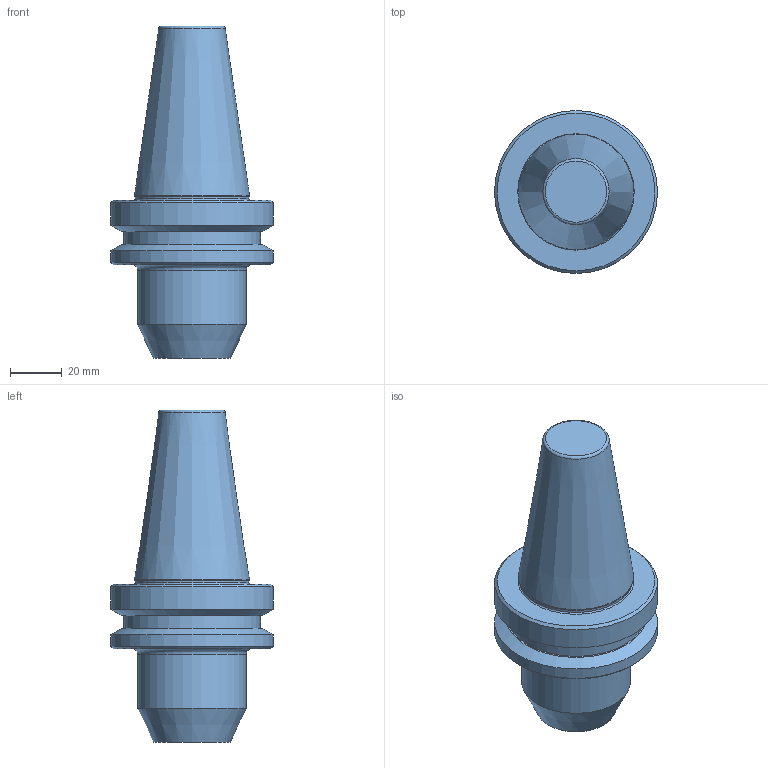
import cadquery as cq
import math


gauge_diameter = 44.45
taper_length = 65.4
taper_ratio = 7 / 24
shank_end_fillet = 1.0
shank_base_land = 0.4

neck_diameter = 44.0
neck_fillet = 0.5

flange_diameter = 63.0
flange_top = -2.0
flange_thickness = 25.0
flange_chamfer = 1.0

groove_center = -16.6
groove_mouth_width = 10.0
groove_flank_angle = 30.0
groove_floor_width = 5.0
groove_floor_diameter = 53.0

nose_bottom = -63.0
body_diameter = 42.0
body_fillet = 2.0
nose_length = 13.0
nose_end_diameter = 30.0

selection_margin = 0.01

gauge_radius = gauge_diameter / 2
shank_end_radius = (gauge_diameter - taper_length * taper_ratio) / 2
neck_radius = neck_diameter / 2
flange_radius = flange_diameter / 2
flange_bottom = flange_top - flange_thickness
groove_floor_radius = groove_floor_diameter / 2
body_radius = body_diameter / 2
nose_end_radius = nose_end_diameter / 2
nose_top = nose_bottom + nose_length


def turned(*profile):
    """Revolve a closed (radius, height) profile around the Z axis."""
    return cq.Workplane("XZ").polyline(profile).close().revolve(360, (0, 0), (0, 1))


def circle_at(radius, height):
    """Selector for the circular edges up to a given radius at a given height."""
    reach = radius + selection_margin
    low_corner = (-reach, -reach, height - selection_margin)
    high_corner = (reach, reach, height + selection_margin)
    return cq.selectors.BoxSelector(low_corner, high_corner, boundingbox=True)


def make_shank():
    """Taper with a short cylindrical land at its base and a rounded small end."""
    shank = turned(
        (0, -shank_base_land),
        (gauge_radius, -shank_base_land),
        (gauge_radius, 0),
        (shank_end_radius, taper_length),
        (0, taper_length),
    )
    return shank.faces(">Z").edges().fillet(shank_end_fillet)


def make_flange():
    """Chamfered disc with a V-groove whose flanks step down to a flat floor."""
    blank = cq.Workplane("XY", origin=(0, 0, flange_bottom)).circle(flange_radius).extrude(flange_thickness)
    blank = blank.edges("%CIRCLE").chamfer(flange_chamfer)
    half_mouth = groove_mouth_width / 2
    half_floor = groove_floor_width / 2
    flank_depth = (half_mouth - half_floor) / math.tan(math.radians(groove_flank_angle))
    step_radius = flange_radius - flank_depth
    groove = turned(
        (flange_radius, groove_center - half_mouth),
        (step_radius, groove_center - half_floor),
        (groove_floor_radius, groove_center - half_floor),
        (groove_floor_radius, groove_center + half_floor),
        (step_radius, groove_center + half_floor),
        (flange_radius, groove_center + half_mouth),
    )
    return blank.cut(groove)


def make_neck():
    """Relieved cylinder joining the flange to the shank."""
    return cq.Workplane("XY", origin=(0, 0, flange_top)).circle(neck_radius).extrude(-flange_top)


def make_body():
    """Cylinder below the flange, ending in a conical nose."""
    return turned(
        (0, flange_bottom),
        (body_radius, flange_bottom),
        (body_radius, nose_top),
        (nose_end_radius, nose_bottom),
        (0, nose_bottom),
    )


result = make_flange().union(make_neck()).union(make_shank()).union(make_body())
result = result.edges(circle_at(neck_radius, flange_top)).fillet(neck_fillet)
result = result.edges(circle_at(body_radius, flange_bottom)).fillet(body_fillet)